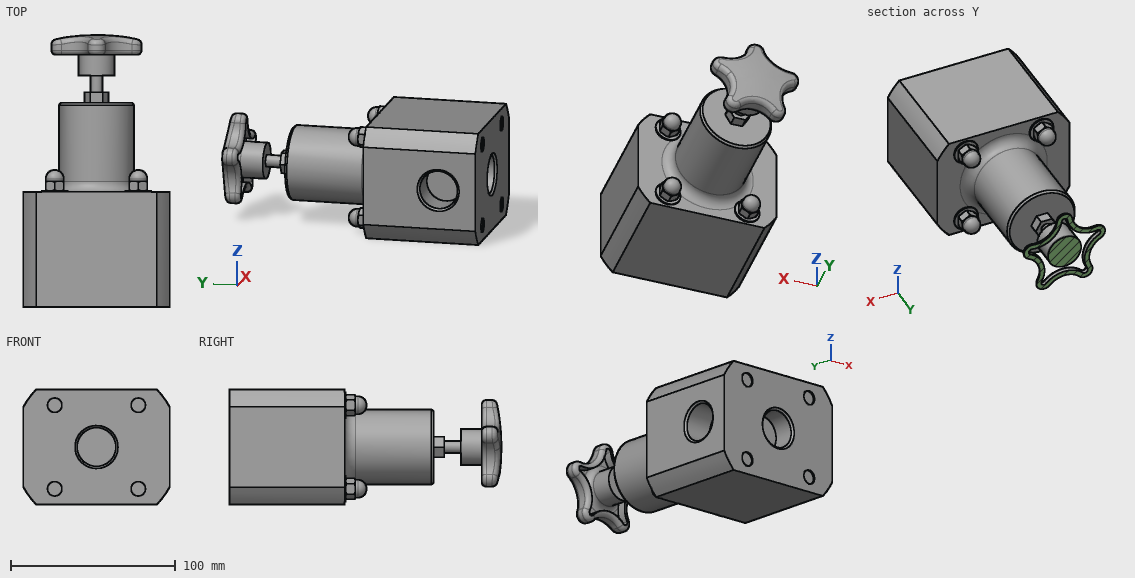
import cadquery as cq
import math

body_width = 88.8
body_height = 69.8
body_length = 69.8
body_turned_diameter = 101.2

port_diameter = 23.5
port_chamfer = 1.3
front_port_depth = 14.9
side_port_depth = 19.8
side_port_from_front = 23.1

stud_spacing = 50.7
stud_recess_diameter = 8.7
stud_recess_depth = 1.0
washer_diameter = 15.8
washer_thickness = 0.8
cap_nut_flats = 11.0
cap_nut_hex_height = 5.6
cap_nut_corner_chamfer = 0.5
dome_base_height = 1.5

bonnet_diameter = 45.7
bonnet_top = 124.0
bonnet_root_radius = 6.5
bonnet_chamfer_width = 1.2
bonnet_chamfer_height = 1.5
lock_nut_flats = 12.7
lock_nut_height = 6.5
stem_diameter = 7.5

hub_diameter = 22.1
hub_bottom = 140.3
hub_root_radius = 4.3
wheel_bottom = 152.9
wheel_top = 165.1
lobe_count = 5
lobe_radius = 5.3
lobe_centre_radius = 23.3
valley_radius = 18.3
crown_radius = 123.8
rim_fillet = 3.0
crown_fillet = 3.3
pocket_offset = 3.5
pocket_depth = 5.8


def plane_at(y):
    """Work plane facing +Y at the given height; its local x is X and local y is -Z."""
    return cq.Workplane(cq.Plane(origin=(0, y, 0), xDir=(1, 0, 0), normal=(0, 1, 0)))


def cylinder(diameter, bottom, top):
    """Cylinder about the valve axis between two heights."""
    return plane_at(bottom).circle(diameter / 2).extrude(top - bottom)


def hexagon(flats, bottom, top, turn):
    """Hexagonal prism given by its width across flats, turned about the valve axis in degrees."""
    corners = flats / math.cos(math.pi / 6)
    outline = plane_at(bottom).transformed(rotate=(0, 0, turn)).polygon(6, corners)
    return outline.extrude(top - bottom)


def port_cutter(depth):
    """Chamfered blind bore of the given depth running along +Y from the origin."""
    bore = cylinder(port_diameter, 0, depth)
    mouth = (
        plane_at(0)
        .circle(port_diameter / 2 + port_chamfer)
        .workplane(offset=port_chamfer)
        .circle(port_diameter / 2)
        .loft()
    )
    return bore.union(mouth)


def make_body():
    """Block with its corners turned round, two ports and four shallow stud recesses."""
    block = cq.Workplane("XY").box(body_width, body_length, body_height)
    block = block.translate((0, body_length / 2, 0))
    block = block.intersect(cylinder(body_turned_diameter, 0, body_length))
    side_port = port_cutter(side_port_depth).rotate((0, 0, 0), (0, 0, 1), -90)
    side_port = side_port.translate((-body_width / 2, side_port_from_front, 0))
    recesses = (
        plane_at(0)
        .rect(stud_spacing, stud_spacing, forConstruction=True)
        .vertices()
        .circle(stud_recess_diameter / 2)
        .extrude(stud_recess_depth)
    )
    return block.cut(port_cutter(front_port_depth)).cut(side_port).cut(recesses)


def make_cap_nut():
    """Washer and cap nut on the valve axis, standing on the back face of the body."""
    hex_bottom = body_length + washer_thickness
    hex_top = hex_bottom + cap_nut_hex_height
    dome_centre = hex_top + dome_base_height
    washer = cylinder(washer_diameter, body_length, hex_bottom)
    corner_diameter = cap_nut_flats / math.cos(math.pi / 6)
    corner_limit = cylinder(corner_diameter, hex_bottom, hex_top)
    corner_limit = corner_limit.faces("<Y or >Y").edges().chamfer(cap_nut_corner_chamfer)
    nut = hexagon(cap_nut_flats, hex_bottom, hex_top, 30).intersect(corner_limit)
    neck = cylinder(cap_nut_flats, hex_top, dome_centre)
    dome = cq.Workplane("XY").sphere(cap_nut_flats / 2).translate((0, dome_centre, 0))
    return washer.union(nut).union(neck).union(dome)


def make_bonnet():
    """Round bonnet with a hollow root fillet on the body and a chamfered top edge."""
    radius = bonnet_diameter / 2
    root_shift = bonnet_root_radius * (1 - math.sqrt(0.5))
    return (
        cq.Workplane("XY")
        .moveTo(0, body_length)
        .lineTo(radius + bonnet_root_radius, body_length)
        .threePointArc(
            (radius + root_shift, body_length + root_shift),
            (radius, body_length + bonnet_root_radius),
        )
        .lineTo(radius, bonnet_top - bonnet_chamfer_height)
        .lineTo(radius - bonnet_chamfer_width, bonnet_top)
        .lineTo(0, bonnet_top)
        .close()
        .revolve(360, (0, 0), (0, 1))
    )


def polar(radius, angle):
    """Plane point at a radius and an angle in radians."""
    return (radius * math.cos(angle), radius * math.sin(angle))


def star(y, height, offset):
    """Prism of the star outline moved inwards by offset; round lobes meet hollow valleys tangentially."""
    half_step = math.pi / lobe_count
    lobe_reach = valley_radius - lobe_radius
    valley_arc = (
        (lobe_centre_radius**2 + valley_radius**2 - lobe_radius**2
         - 2 * lobe_centre_radius * valley_radius * math.cos(half_step))
        / (2 * (lobe_centre_radius * math.cos(half_step) - lobe_reach))
    )
    valley_centre = valley_radius + valley_arc
    towards_valley = math.atan2(
        valley_centre * math.sin(half_step),
        valley_centre * math.cos(half_step) - lobe_centre_radius,
    )
    tip = lobe_radius - offset
    join_x = lobe_centre_radius + tip * math.cos(towards_valley)
    join_y = tip * math.sin(towards_valley)
    join_radius = math.hypot(join_x, join_y)
    join_angle = math.atan2(join_y, join_x)

    first_lobe = -math.pi / 2
    outline = plane_at(y).moveTo(*polar(join_radius, first_lobe - join_angle))
    for i in range(lobe_count):
        lobe = first_lobe + 2 * half_step * i
        next_lobe = lobe + 2 * half_step
        outline = outline.threePointArc(
            polar(lobe_centre_radius + tip, lobe),
            polar(join_radius, lobe + join_angle),
        ).threePointArc(
            polar(valley_radius - offset, lobe + half_step),
            polar(join_radius, next_lobe - join_angle),
        )
    return outline.close().extrude(height)


def make_handwheel():
    """Crowned star with rounded rims, a star-shaped pocket beneath and a flared hub."""
    height = wheel_top - wheel_bottom
    outer = lobe_centre_radius + 2 * lobe_radius
    crown_drop = crown_radius - math.sqrt(crown_radius**2 - outer**2)
    half_drop = crown_radius - math.sqrt(crown_radius**2 - (outer / 2)**2)
    crown = (
        cq.Workplane("XY")
        .moveTo(0, wheel_bottom)
        .lineTo(outer, wheel_bottom)
        .lineTo(outer, wheel_top - crown_drop)
        .threePointArc((outer / 2, wheel_top - half_drop), (0, wheel_top))
        .close()
        .revolve(360, (0, 0), (0, 1))
    )
    wheel = star(wheel_bottom, height, 0).intersect(crown)
    wheel = wheel.faces("<Y").edges().fillet(rim_fillet)
    wheel = wheel.faces(">Y").edges().fillet(crown_fillet)
    wheel = wheel.cut(star(wheel_bottom, pocket_depth, pocket_offset))

    radius = hub_diameter / 2
    floor = wheel_bottom + pocket_depth
    root_shift = hub_root_radius * (1 - math.sqrt(0.5))
    hub = (
        cq.Workplane("XY")
        .moveTo(0, hub_bottom)
        .lineTo(radius, hub_bottom)
        .lineTo(radius, floor - hub_root_radius)
        .threePointArc(
            (radius + root_shift, floor - root_shift),
            (radius + hub_root_radius, floor),
        )
        .lineTo(0, floor)
        .close()
        .revolve(360, (0, 0), (0, 1))
    )
    return wheel.union(hub)


result = make_body().union(make_bonnet())
for x_side in (-1, 1):
    for z_side in (-1, 1):
        stud = (x_side * stud_spacing / 2, 0, z_side * stud_spacing / 2)
        result = result.union(make_cap_nut().translate(stud))
result = result.union(hexagon(lock_nut_flats, bonnet_top, bonnet_top + lock_nut_height, 0))
result = result.union(cylinder(stem_diameter, bonnet_top, hub_bottom))
result = result.union(make_handwheel())